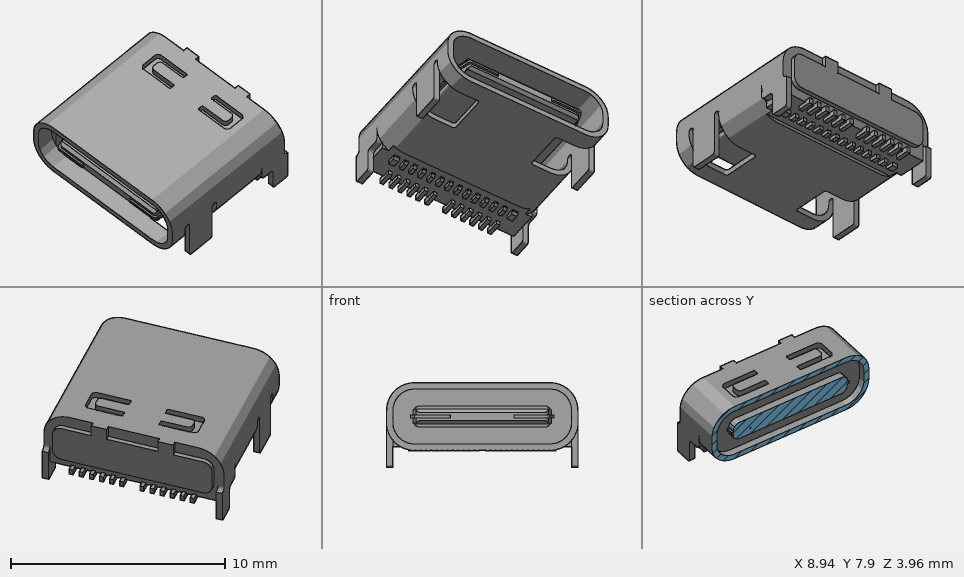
import cadquery as cq


shell_width = 8.94
shell_height = 3.165
shell_radius = 1.3
wall = 0.3
shell_length = 7.6
half_width = shell_width / 2
inner_half_width = half_width - wall
mid_z = shell_height / 2
curl_end_y = 6.06
floor_end_y = 5.67

leg_bottom_z = -0.8
leg_corner_radius = 0.12
front_leg_y = (1.18, 2.69)
rear_leg_y = (6.82, 7.82)
window_y = (0.89, 3.0)
window_top_z = 1.53
window_inner_x = 2.13
window_radius = 0.13
skirt_bottom_z = 0.49
skirt_radius = 0.18
rear_shoulder_z = 0.9
rear_shoulder_radius = 0.215

arm_cut_x = (0.9, 2.8)
arm_cut_y = (5.48, 6.66)
arm_cut_radius = 0.215
arm_cut_end_radius = 0.04
arm_tip_x = 2.405
arm_y = (5.775, 6.37)
arm_radius = 0.2
tab_x = (1.27, 2.04)
tab_bottom_z = 2.57

housing_front_y = 5.36
housing_bottom_z = 0.17
back_end_y = rear_leg_y[1]
back_half_width = 3.97
back_z = (0.67, tab_bottom_z)
back_radius = 0.49

tongue_tip_y = 0.29
tongue_tip_half_width = 3.09
tongue_half_width = 3.24
tongue_half_height = 0.35
tongue_tip_half_height = 0.2
tongue_tip_slope_length = 0.15
tongue_edge_radius = 0.11
side_taper = 0.3
tip_radius = 0.18
tip_length = 0.19
root_front_y = 4.65
root_half_height = 0.5
root_radius = 0.36
plate_tip_y = 0.19
plate_tip_half_width = 3.165
plate_half_width = 3.34
plate_thickness = 0.14
plate_gap_half_width = 1.49
plate_lug_radius = 0.07

tail_pitch = 0.5
tail_width = 0.2
tails_per_side = 6
tail_bottom_z = -0.04
tail_embed = 0.09
rear_tail_y = (7.15, 7.9)
front_tail_y = (6.13, 6.62)
front_tail_chamfer = 0.12
outer_tail_x = 3.3
outer_tail_width = 0.3


def block(x, y, z):
    """Box spanning the given (low, high) ranges."""
    size = [high - low for low, high in (x, y, z)]
    return cq.Workplane("XY").box(*size, centered=False).translate((x[0], y[0], z[0]))


def rounded_bar(half_x, z, radius, y):
    """Bar along Y with a rounded rectangular section centred on X."""
    return block((-half_x, half_x), y, z).edges("|Y").fillet(radius)


def extrude_along_x(points, x):
    """Prism along X from a closed outline of (y, z) points."""
    return cq.Workplane("YZ").polyline(points).close().extrude(x[1] - x[0]).translate((x[0], 0, 0))


def fillet_at(solid, direction, point, radius):
    """Round the edge parallel to an axis that lies nearest to a point."""
    return solid.edges(direction).edges(cq.selectors.NearestToPointSelector(point)).fillet(radius)


def both_sides(solid):
    """The solid joined with its mirror image across X = 0."""
    return solid.union(solid.mirror("YZ"))


def shell_bore(y):
    """Volume inside the shell wall."""
    return rounded_bar(inner_half_width, (wall, shell_height - wall), shell_radius - wall, y)


def front_leg_window():
    """Opening in the side and bottom walls that frees the +X front leg."""
    x = (window_inner_x, half_width + wall)
    opening = block(x, window_y, (-wall, shell_radius)).edges("|Z and <X").fillet(window_radius)
    for y in ((window_y[0], front_leg_y[0]), (front_leg_y[1], window_y[1])):
        slot = block((half_width - shell_radius, x[1]), y, (0, window_top_z))
        opening = opening.union(slot.edges("|X and >Z").fillet(window_radius))
    return opening


def front_leg():
    """Straight +X leg hanging from the side wall."""
    leg = block((inner_half_width, half_width), front_leg_y, (leg_bottom_z, shell_radius))
    return leg.edges("|X and <Z").fillet(leg_corner_radius)


def rear_side_wall():
    """Straight +X side wall at the back, ending in the rear leg."""
    outline = [
        (curl_end_y, mid_z),
        (curl_end_y, skirt_bottom_z),
        (rear_leg_y[0], skirt_bottom_z),
        (rear_leg_y[0], leg_bottom_z),
        (rear_leg_y[1], leg_bottom_z),
        (rear_leg_y[1], rear_shoulder_z),
        (shell_length, rear_shoulder_z),
        (shell_length, mid_z),
    ]
    rounding = {
        1: skirt_radius,
        2: skirt_radius,
        3: leg_corner_radius,
        4: leg_corner_radius,
        6: rear_shoulder_radius,
    }
    wall_plate = extrude_along_x(outline, (inner_half_width, half_width))
    wall_mid_x = half_width - wall / 2
    for corner, radius in rounding.items():
        wall_plate = fillet_at(wall_plate, "|X", (wall_mid_x, *outline[corner]), radius)
    return wall_plate


def spring_arm_slot():
    """U-shaped slot in the top wall around the +X spring arm."""
    z = (shell_height - wall, shell_height)
    outer = block(arm_cut_x, arm_cut_y, z).edges("|Z and >X").fillet(arm_cut_radius)
    arm = block((arm_cut_x[0], arm_tip_x), arm_y, z).edges("|Z and >X").fillet(arm_radius)
    return outer.cut(arm).edges("|Z and <X").fillet(arm_cut_end_radius)


def make_shell():
    """Sheet-metal shell with its windows, spring arms, legs and rear tabs."""
    length = (0, shell_length)
    shell = rounded_bar(half_width, (0, shell_height), shell_radius, length).cut(shell_bore(length))
    span = (-half_width, half_width)
    shell = shell.cut(block(span, (curl_end_y, shell_length), (0, mid_z)))
    shell = shell.cut(block(span, (floor_end_y, shell_length), (0, housing_bottom_z)))
    shell = shell.cut(both_sides(front_leg_window()))
    shell = shell.cut(both_sides(spring_arm_slot()))
    tab = block(tab_x, (shell_length, back_end_y), (tab_bottom_z, shell_height))
    for addition in (front_leg(), rear_side_wall(), tab):
        shell = shell.union(both_sides(addition))
    return shell


def make_housing():
    """Plastic housing filling the rear of the shell, with its foot and back plate."""
    housing = shell_bore((housing_front_y, shell_length))
    foot_x = (-inner_half_width, inner_half_width)
    housing = housing.union(block(foot_x, (curl_end_y, shell_length), (housing_bottom_z, mid_z)))
    floor_x = half_width - shell_radius
    floor_y = (floor_end_y, shell_length)
    housing = housing.union(block((-floor_x, floor_x), floor_y, (housing_bottom_z, mid_z)))
    back_y = (shell_length, back_end_y)
    back = rounded_bar(back_half_width, back_z, back_radius, back_y)
    return housing.union(back)


def tapered_plan(tip_y, tip_half_width, full_half_width, half_height):
    """Flat slab with a rounded tip that widens to its full width."""
    taper_start_y = tip_y + tip_length
    taper_end_y = taper_start_y + (full_half_width - tip_half_width) / side_taper
    right_edge = [
        (tip_half_width, tip_y),
        (tip_half_width, taper_start_y),
        (full_half_width, taper_end_y),
        (full_half_width, housing_front_y),
    ]
    left_edge = [(-x, y) for x, y in reversed(right_edge)]
    slab = cq.Workplane("XY").polyline(right_edge + left_edge).close().extrude(2 * half_height)
    slab = slab.translate((0, 0, mid_z - half_height))
    for x in (-tip_half_width, tip_half_width):
        slab = fillet_at(slab, "|Z", (x, tip_y, mid_z), tip_radius)
    return slab


def make_tongue():
    """Contact tongue with a bevelled tip, standing on a thicker root block."""
    tongue = tapered_plan(tongue_tip_y, tongue_tip_half_width, tongue_half_width, tongue_half_height)
    behind_tip = cq.selectors.BoxSelector(
        (-half_width, tongue_tip_y + tip_length, 0),
        (half_width, housing_front_y - tip_length, shell_height),
    )
    tongue = tongue.faces("<Z or >Z").edges(behind_tip).fillet(tongue_edge_radius)
    slope_end_y = tongue_tip_y + tongue_tip_slope_length
    upper = [
        (tongue_tip_y, mid_z + tongue_tip_half_height),
        (slope_end_y, mid_z + tongue_half_height),
        (housing_front_y, mid_z + tongue_half_height),
    ]
    lower = [(y, 2 * mid_z - z) for y, z in reversed(upper)]
    wedge = extrude_along_x(upper + lower, (-half_width, half_width))
    root_z = (mid_z - root_half_height, mid_z + root_half_height)
    root = rounded_bar(tongue_half_width, root_z, root_radius, (root_front_y, housing_front_y))
    return tongue.intersect(wedge).union(root)


def make_mid_plate():
    """Metal plate at mid-height of the tongue, showing at its sides and tip."""
    half_thickness = plate_thickness / 2
    plate = tapered_plan(plate_tip_y, plate_tip_half_width, plate_half_width, half_thickness)
    gap_x = (-plate_gap_half_width, plate_gap_half_width)
    plate_z = (mid_z - half_thickness, mid_z + half_thickness)
    plate = plate.cut(block(gap_x, (plate_tip_y, tongue_tip_y + tip_length), plate_z))
    for x in gap_x:
        plate = fillet_at(plate, "|Z", (x, plate_tip_y, mid_z), plate_lug_radius)
    return plate


def contact_tail(x, width, y):
    """Contact tail projecting below the housing, centred at x."""
    z = (tail_bottom_z, housing_bottom_z + tail_embed)
    return block((x - width / 2, x + width / 2), y, z)


def front_tail(x, width):
    """Contact tail of the front row, with a bevelled leading edge."""
    tail = contact_tail(x, width, front_tail_y)
    return tail.edges("|X").edges("<Y and <Z").chamfer(front_tail_chamfer)


result = make_shell().union(make_housing()).union(make_tongue()).union(make_mid_plate())
for side in (-1, 1):
    result = result.union(front_tail(side * outer_tail_x, outer_tail_width))
    for index in range(tails_per_side):
        result = result.union(front_tail(side * (index + 0.5) * tail_pitch, tail_width))
        result = result.union(contact_tail(side * (index + 1) * tail_pitch, tail_width, rear_tail_y))